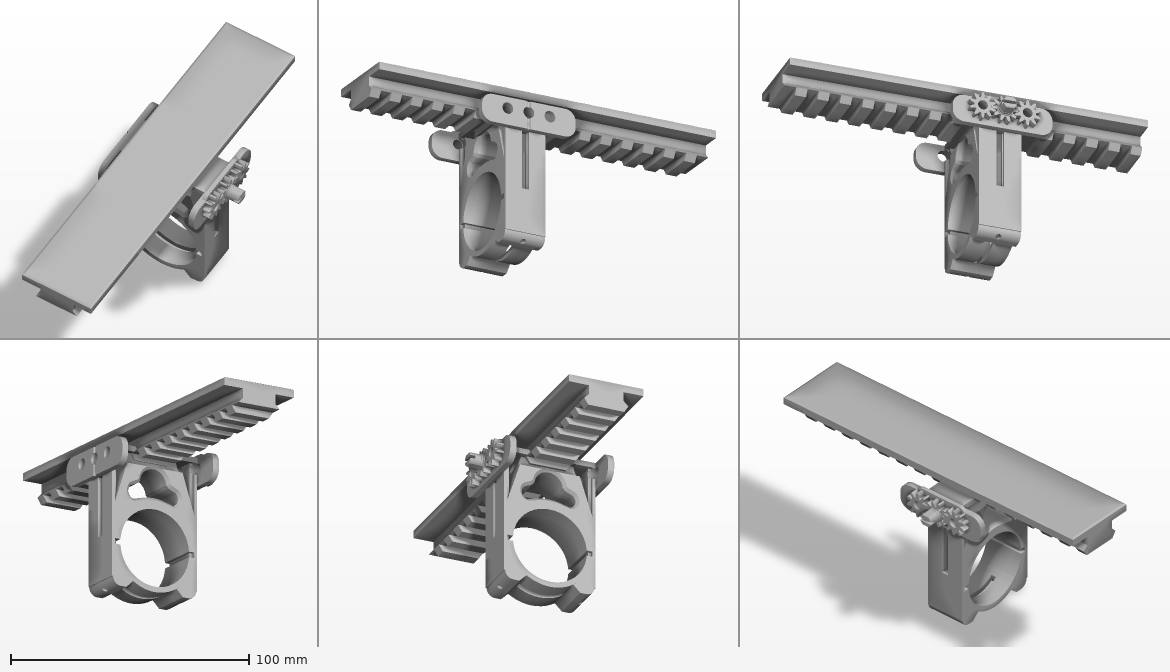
import cadquery as cq
import math

seat_radius = 16.95
strap_thickness = 2.4
strap_radius = seat_radius + strap_thickness
seat_z = strap_radius

clamp_width = 19.05
half_width = clamp_width / 2

rail_length = 160.0
rail_center_y = -12.5
total_height = 70.18
plate_width = 34.3
plate_thickness = 3.81
plate_bevel_run = 0.9
plate_bevel_drop = 0.45
stem_half_width = 8.0
rack_root_z = 60.04
dovetail_half_width = 10.16
dovetail_height = dovetail_half_width - stem_half_width
tooth_height = 2.86
tooth_tip_half_width = 8.25
rack_pitch = 10.0
rack_tooth_length = 5.0
rack_tooth_count = 16
rack_tooth_clipped = 0.4

jaw_thickness = 2.42
jaw_tip_height = 1.45
jaw_top_z = rack_root_z + jaw_thickness
flange_outer_x = 23.9
flange_thickness = 2.9
flange_length = 44.45
flange_height = 12.6
flange_radius = 5.08
flange_bottom_z = jaw_top_z - flange_height
wall_outer_x = flange_outer_x - flange_thickness
wall_inner_x = 19.55
rib_inner_x = 18.2
rib_half_width = 8.0
pad_thickness = 0.45
pad_margin = 0.05
foot_outer_x = wall_outer_x - pad_thickness
foot_radius = 3.8
seat_gap = 2.4
foot_top_z = seat_z - seat_gap / 2
saddle_bottom_z = seat_z + seat_gap / 2
slot_width = 3.4
slot_inner_width = 2.54
slot_bottom_z = 23.7
notch_radius = 0.7

tab_width = 2.6
tab_end_radius = 22.85
nose_offset = 3.8
pin_hole_diameter = 2.54
strap_slot_width = 2.54
strap_slot_half_length = 10.4

gear_spacing = 10.0
gear_axis_z = 57.4
gear_teeth = 10
gear_module = gear_spacing / gear_teeth
gear_tip_radius = gear_spacing / 2 + gear_module
gear_root_radius = gear_spacing / 2 - 1.25 * gear_module
gear_thickness = 3.3
tooth_root_overlap = 0.3
tooth_root_half_angle = 13.5
tooth_pitch_half_angle = 8.4
tooth_tip_half_angle = 3.6
hub_diameter = 5.08
bore_diameter = 4.32
cover_depth = 1.9
cover_length = 28.4
cover_height = 13.3
cover_radius = 4.5
shaft_diameter = 6.2
shaft_flats = 5.3
shaft_end_x = 33.61
shaft_step_x = 28.7
shaft_step = 0.15
shaft_foot_length = 0.4
shaft_foot_margin = 0.45
driver_slot_depth = 2.3
driver_slot_width = 1.4
shaft_end_chamfer = 0.3
end_wall = 1.6

saddle_top_half_width = 12.0
saddle_shoulder_z = 36.8
scoop_radius = 2.9
scoop_bottom_z = 54.7
window_chamfer = 1.3
window_top_radius = 6.5
window_top_z = 54.25
window_floor_radius = 22.3
window_floor_half_width = 7.2
window_crown_end_angle = 5
window_neck = (7.7, 47.0)
window_lobe_top = (11.1, 45.5)
window_lobe_side = (12.3, 42.8)
window_lobe_bottom = (9.9, 39.8)


def prism_y(outline, y_min, y_max):
    """Extrude a workplane outline drawn in XZ between two Y positions."""
    return outline.extrude(y_min - y_max).translate((0, y_min, 0))


def box(x_range, y_range, z_range):
    """Box spanning the given ranges."""
    size = [high - low for low, high in (x_range, y_range, z_range)]
    low_corner = (x_range[0], y_range[0], z_range[0])
    return cq.Workplane("XY").box(*size, centered=False).translate(low_corner)


def cylinder_x(radius, x_min, x_max, y, z):
    """Cylinder along X."""
    return cq.Workplane("YZ").center(y, z).circle(radius).extrude(x_max - x_min).translate((x_min, 0, 0))


def clamp_prism(outline):
    """Extrude an XZ outline over the full width of the clamp."""
    return prism_y(outline, -half_width, half_width)


def seat_cylinder(radius):
    """Cylinder along Y on the seat axis."""
    return clamp_prism(cq.Workplane("XZ").center(0, seat_z).circle(radius))


def rounded_plate(x_min, x_max, length, z_min, z_max, radius):
    """Plate facing X with rounded corners."""
    plate = box((x_min, x_max), (-length / 2, length / 2), (z_min, z_max))
    return plate.edges("|X").fillet(radius)


def rack_tooth_outline():
    return cq.Workplane("XZ").polyline([
        (-dovetail_half_width, rack_root_z),
        (dovetail_half_width, rack_root_z),
        (tooth_tip_half_width, rack_root_z - tooth_height),
        (-tooth_tip_half_width, rack_root_z - tooth_height),
    ]).close()


def make_rail():
    y_min = rail_center_y - rail_length / 2
    y_max = rail_center_y + rail_length / 2
    plate_bottom_z = total_height - plate_thickness
    bevel_z = total_height - plate_bevel_drop

    body = box((-plate_width / 2, plate_width / 2), (y_min, y_max), (plate_bottom_z, total_height))
    body = body.faces(">Z").edges().chamfer(plate_bevel_drop, plate_bevel_run)
    neck = cq.Workplane("XZ").polyline([
        (-stem_half_width, plate_bottom_z),
        (stem_half_width, plate_bottom_z),
        (stem_half_width, rack_root_z + dovetail_height),
        (dovetail_half_width, rack_root_z),
        (-dovetail_half_width, rack_root_z),
        (-stem_half_width, rack_root_z + dovetail_height),
    ]).close()
    body = body.union(prism_y(neck, y_min, y_max))
    for index in range(rack_tooth_count):
        tooth_top_y = y_max + rack_tooth_clipped - index * rack_pitch
        tooth_bottom_y = tooth_top_y - rack_tooth_length
        body = body.union(prism_y(rack_tooth_outline(), tooth_bottom_y, min(tooth_top_y, y_max)))
    return body


def radial_tab(side):
    """Tab pointing outward and down at 45 degrees, starting inside the seat."""
    tab = box((0, tab_end_radius), (-half_width, half_width), (-tab_width / 2, tab_width / 2))
    return place_radial(tab, side)


def place_radial(shape, side):
    """Turn a shape built along +X at the seat centre to the lower 45 degree line on one side."""
    angle = 45 if side > 0 else 135
    return shape.rotate((0, 0, 0), (0, 1, 0), angle).translate((0, 0, seat_z))


def make_strap():
    reach = 2 * strap_radius
    sector = clamp_prism(cq.Workplane("XZ").polyline([
        (0, seat_z), (reach, seat_z - reach), (-reach, seat_z - reach),
    ]).close())
    strap = seat_cylinder(strap_radius).intersect(sector)
    for side in (-1, 1):
        strap = strap.union(radial_tab(side))
    strap = strap.cut(seat_cylinder(seat_radius))
    slot = box(
        (-strap_slot_half_length, strap_slot_half_length),
        (-strap_slot_width / 2, strap_slot_width / 2),
        (0, seat_z),
    )
    return strap.cut(slot)


def foot():
    """Block below the gap, holding one end of the strap."""
    block = box((0, foot_outer_x), (-half_width, half_width), (0, foot_top_z))
    block = block.edges(">X and <Z").fillet(foot_radius)
    reach = 2 * strap_radius
    inner_side = box((0, reach), (-half_width, half_width), (-reach, -nose_offset))
    block = block.cut(place_radial(inner_side, 1))
    under_tab = clamp_prism(cq.Workplane("XZ").polyline([
        (0, seat_z), (reach, seat_z - reach), (0, seat_z - reach),
    ]).close())
    block = block.cut(seat_cylinder(seat_radius))
    block = block.cut(seat_cylinder(strap_radius).intersect(under_tab))
    block = block.cut(radial_tab(1))
    pin_hole = cylinder_x(pin_hole_diameter / 2, seat_radius, reach, 0, 0)
    return block.cut(place_radial(pin_hole, 1))


def jaw():
    """Horizontal plate whose bevelled tip hooks over the dovetail of the rail."""
    tip_z = rack_root_z + jaw_tip_height
    tip_x = dovetail_half_width - (tip_z - rack_root_z)
    outline = cq.Workplane("XZ").polyline([
        (wall_outer_x, rack_root_z),
        (dovetail_half_width, rack_root_z),
        (tip_x, tip_z),
        (tip_x + jaw_top_z - tip_z, jaw_top_z),
        (wall_outer_x, jaw_top_z),
    ]).close()
    return clamp_prism(outline)


def gear_positions():
    return [index * gear_spacing for index in (-1, 0, 1)]


def arm():
    """Arm on the +X side, before the details that differ between the two sides."""
    flange = rounded_plate(
        wall_outer_x, flange_outer_x, flange_length, flange_bottom_z, jaw_top_z, flange_radius
    )
    wall = box((wall_inner_x, foot_outer_x), (-half_width, half_width), (foot_top_z, jaw_top_z))
    pad_half_width = half_width - pad_margin
    pad = box((foot_outer_x, wall_outer_x), (-pad_half_width, pad_half_width), (foot_radius, jaw_top_z))
    rib = box((rib_inner_x, wall_inner_x), (-rib_half_width, rib_half_width), (foot_top_z, rack_root_z))
    body = flange.union(wall).union(pad).union(rib).union(jaw()).union(foot())

    slot_z = (slot_bottom_z, flange_bottom_z)
    outer_slot = box((wall_inner_x, wall_outer_x), (-slot_width / 2, slot_width / 2), slot_z)
    inner_slot = box((rib_inner_x, wall_inner_x), (-slot_inner_width / 2, slot_inner_width / 2), slot_z)
    body = body.cut(outer_slot).cut(inner_slot)
    for y in gear_positions():
        body = body.cut(cylinder_x(hub_diameter / 2, rib_inner_x, flange_outer_x, y, gear_axis_z))
    return body


def make_left_arm():
    left = arm().mirror("YZ")
    groove = cq.Workplane("XY").center(-flange_outer_x, 0).circle(notch_radius).extrude(jaw_top_z)
    return left.cut(groove)


def make_right_arm():
    return arm().cut(cover_blank())


def cover_blank():
    return rounded_plate(
        flange_outer_x - cover_depth, flange_outer_x, cover_length,
        gear_axis_z - cover_height / 2, gear_axis_z + cover_height / 2, cover_radius,
    )


def make_cover():
    cover = cover_blank()
    for y in gear_positions():
        cover = cover.cut(cylinder_x(hub_diameter / 2, rib_inner_x, flange_outer_x, y, gear_axis_z))
    return cover


def window_outline():
    """Three-lobed opening: a round top and two side lobes above an arched floor."""
    crown_center_z = window_top_z - window_top_radius
    crown_end = math.radians(window_crown_end_angle)
    crown_side = (
        window_top_radius * math.cos(crown_end),
        crown_center_z + window_top_radius * math.sin(crown_end),
    )
    floor_rise = math.sqrt(window_floor_radius**2 - window_floor_half_width**2)
    floor_side = (window_floor_half_width, seat_z + floor_rise)

    def left(point):
        return (-point[0], point[1])

    return (
        cq.Workplane("XZ").moveTo(*left(crown_side))
        .threePointArc((0, window_top_z), crown_side)
        .lineTo(*window_neck).lineTo(*window_lobe_top)
        .threePointArc(window_lobe_side, window_lobe_bottom)
        .lineTo(*floor_side)
        .threePointArc((0, seat_z + window_floor_radius), left(floor_side))
        .lineTo(*left(window_lobe_bottom))
        .threePointArc(left(window_lobe_side), left(window_lobe_top))
        .lineTo(*left(window_neck)).close()
    )


def make_saddle():
    body = clamp_prism(cq.Workplane("XZ").polyline([
        (-wall_inner_x, saddle_bottom_z),
        (wall_inner_x, saddle_bottom_z),
        (wall_inner_x, saddle_shoulder_z),
        (saddle_top_half_width, rack_root_z),
        (-saddle_top_half_width, rack_root_z),
        (-wall_inner_x, saddle_shoulder_z),
    ]).close())
    window = clamp_prism(window_outline())
    body = body.cut(window)
    flare = window_outline().offset2D(window_chamfer).extrude(window_chamfer, taper=45)
    back_flare = flare.translate((0, half_width, 0))
    body = body.cut(back_flare).cut(back_flare.mirror("XZ"))
    body = body.cut(seat_cylinder(seat_radius))
    body = body.cut(clamp_prism(rack_tooth_outline()))
    for side in (-1, 1):
        x_range = sorted((side * rib_inner_x, side * wall_inner_x))
        body = body.cut(box(x_range, (-rib_half_width, rib_half_width), (saddle_bottom_z, rack_root_z)))
        y_range = sorted((side * (half_width - scoop_radius), side * half_width))
        above = box((-wall_inner_x, wall_inner_x), y_range, (scoop_bottom_z, rack_root_z))
        corner_z = scoop_bottom_z + scoop_radius
        scoop = cylinder_x(scoop_radius, -wall_inner_x, wall_inner_x, side * half_width, corner_z)
        top_block = box((-wall_inner_x, wall_inner_x), y_range, (corner_z, rack_root_z))
        body = body.cut(above.intersect(scoop)).cut(top_block)
    return body.cut(cylinder_x(hub_diameter / 2, -wall_inner_x, wall_inner_x, 0, gear_axis_z))


def gear_blank(turn):
    """Spur gear about X at the origin, with straight-sided teeth."""
    flank = [
        (gear_root_radius - tooth_root_overlap, tooth_root_half_angle),
        (gear_spacing / 2, tooth_pitch_half_angle),
        (gear_tip_radius, tooth_tip_half_angle),
    ]
    polar = [(r, -a) for r, a in flank] + [(r, a) for r, a in reversed(flank)]
    points = [(r * math.cos(math.radians(a)), r * math.sin(math.radians(a))) for r, a in polar]
    tooth = cq.Workplane("YZ").polyline(points).close().extrude(gear_thickness)
    gear = cq.Workplane("YZ").circle(gear_root_radius).extrude(gear_thickness)
    for index in range(gear_teeth):
        gear = gear.union(tooth.rotate((0, 0, 0), (1, 0, 0), turn + index * 360 / gear_teeth))
    return gear.translate((flange_outer_x, 0, 0))


def flatted_shaft(x_min, x_max, diameter, flats):
    rod = cylinder_x(diameter / 2, x_min, x_max, 0, 0)
    return rod.intersect(box((x_min, x_max), (-diameter, diameter), (-flats / 2, flats / 2)))


def drive_shaft():
    """Shaft of the middle gear, with two flats and a screwdriver slot in its end."""
    face_x = flange_outer_x + gear_thickness
    foot_margin = 2 * shaft_foot_margin
    collar_margin = 2 * shaft_step
    shaft = flatted_shaft(face_x, shaft_end_x, shaft_diameter, shaft_flats)
    shaft = shaft.faces(">X").edges().chamfer(shaft_end_chamfer)
    collar = flatted_shaft(
        face_x, shaft_step_x, shaft_diameter + collar_margin, shaft_flats + collar_margin)
    base = flatted_shaft(
        face_x, face_x + shaft_foot_length, shaft_diameter + foot_margin, shaft_flats + foot_margin)
    slot = box(
        (shaft_end_x - driver_slot_depth, shaft_end_x),
        (-shaft_diameter, shaft_diameter),
        (-driver_slot_width / 2, driver_slot_width / 2),
    )
    return shaft.union(collar).union(base).cut(slot)


def make_gear(y):
    middle = y == 0
    gear = gear_blank(0 if middle else 180 / gear_teeth)
    gear = gear.union(cylinder_x(hub_diameter / 2, wall_outer_x, flange_outer_x, 0, 0))
    bore_end_x = flange_outer_x + gear_thickness
    if middle:
        gear = gear.union(drive_shaft())
        bore_end_x = shaft_end_x - end_wall
    gear = gear.cut(cylinder_x(bore_diameter / 2, wall_outer_x, bore_end_x, 0, 0))
    return gear.translate((0, y, gear_axis_z))


rail = make_rail()
saddle = make_saddle()
left_arm = make_left_arm()
right_arm = make_right_arm()
strap = make_strap()
cover = make_cover()
gears = [make_gear(y) for y in gear_positions()]

bodies = [rail, saddle, left_arm, right_arm, strap, cover, *gears]
result = cq.Compound.makeCompound([body.solids().val() for body in bodies])